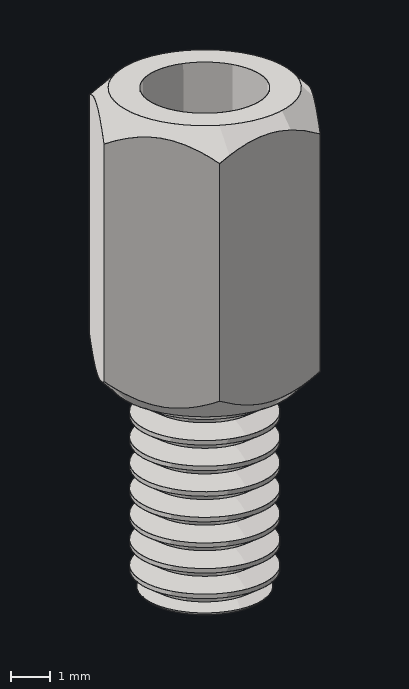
import cadquery as cq
import math

total_height = 13.8
body_height = 8.0
across_flats = 5.5
face_radius = 2.44
bore_radius = 1.64
bore_depth = 6.0
drill_point_angle = 118.0

thread_radius = 1.9
root_radius = 1.44
thread_pitch = 0.7
flank_height = 0.29
groove_count = 8
first_root_drop = 0.6
tip_radius = 1.63

stud_length = total_height - body_height
across_corners = across_flats / math.cos(math.pi / 6)
corner_radius = across_corners / 2
chamfer_height = corner_radius - face_radius


def revolve_profile(points):
    """Revolve a closed (radius, height) profile about the Z axis."""
    return cq.Workplane("XZ").polyline(points).close().revolve(360, (0, 0, 0), (0, 1, 0))


def make_body():
    """Hex prism with corners on the Y axis and conically chamfered ends."""
    prism = (
        cq.Workplane("XY", origin=(0, 0, stud_length))
        .polygon(6, across_corners)
        .extrude(body_height)
        .rotate((0, 0, 0), (0, 0, 1), 30)
    )
    envelope = revolve_profile([
        (0, stud_length),
        (face_radius, stud_length),
        (corner_radius, stud_length + chamfer_height),
        (corner_radius, total_height - chamfer_height),
        (face_radius, total_height),
        (0, total_height),
    ])
    return prism.intersect(envelope)


def make_stud():
    """Thread modelled as evenly spaced V grooves, with a 45 degree chamfered tip."""
    flank_slope = (thread_radius - root_radius) / flank_height
    last_root = stud_length - first_root_drop - (groove_count - 1) * thread_pitch
    tip_chamfer = (root_radius + flank_slope * last_root - tip_radius) / (1 + flank_slope)

    points = [(0, stud_length), (thread_radius, stud_length)]
    for index in range(groove_count):
        root = stud_length - first_root_drop - index * thread_pitch
        points.append((thread_radius, root + flank_height))
        points.append((root_radius, root))
        if index < groove_count - 1:
            points.append((thread_radius, root - flank_height))
    points += [(tip_radius + tip_chamfer, tip_chamfer), (tip_radius, 0), (0, 0)]
    return revolve_profile(points)


def make_bore():
    """Blind bore from the top face, ending in a drill point."""
    shoulder = total_height - bore_depth
    point_depth = bore_radius / math.tan(math.radians(drill_point_angle / 2))
    return revolve_profile([
        (0, total_height),
        (bore_radius, total_height),
        (bore_radius, shoulder),
        (0, shoulder - point_depth),
    ])


result = make_body().union(make_stud()).cut(make_bore())